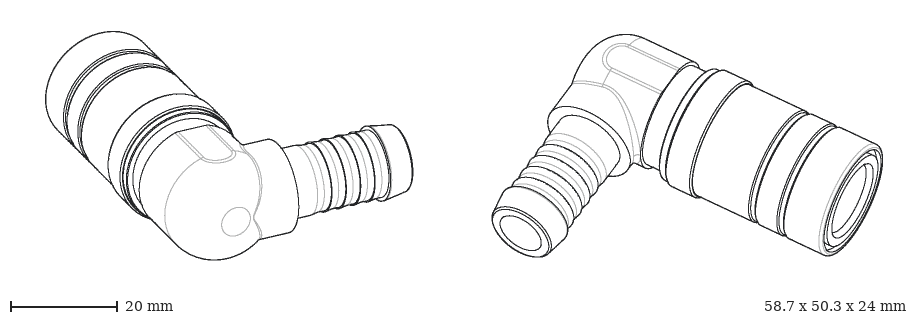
import cadquery as cq

body_dia = 23.0
groove_dia = 22.4
groove_starts = (8.15, 14.3)
groove_width = 1.5
groove_chamfer = 0.3
mouth_round = 0.5
collar_dia = 24.0
collar_start = 28.05
collar_end = 33.85
collar_chamfer = 0.35
body_end = 35.4
body_end_chamfer = 0.2
neck_dia = 20.5

elbow_dia = 21.95
elbow_start = 39.7
elbow_end = 58.7
dome_start = 50.7
dome_round = elbow_end - dome_start

branch_dia = 18.0
branch_inset = 0.03
branch_x = elbow_end - branch_inset - branch_dia / 2
branch_end = 13.1
blend_radius = 0.95

flat_spacing = 21.0
flat_edge_round = 2.0

overall_depth = 50.25
barb_tip = overall_depth - collar_dia / 2
barb_root_dia = 13.0
ridge_dia = 13.5
barb_head_dia = 14.45
barb_tip_chamfer = 0.35
barb_head_length = 4.95
barb_head_back = 0.25
first_ridge = barb_tip - 8.15
ridge_pitch = 3.0
ridge_count = 5
ridge_length = 1.5

ring_outer_dia = 21.0
ring_inner_dia = 18.8
ring_depth = 1.0
bore_dia = 14.1
bore_mouth_dia = 15.25
bore_mouth_length = 1.2
barb_bore_dia = 9.0
bore_end = branch_x + barb_bore_dia / 2


def x_cylinder(diameter, start, end):
    return cq.Workplane("YZ").workplane(offset=start).circle(diameter / 2).extrude(end - start)


def y_cylinder(diameter, start, end):
    plane = cq.Plane(origin=(branch_x, start, 0), xDir=(1, 0, 0), normal=(0, 1, 0))
    return cq.Workplane(plane).circle(diameter / 2).extrude(end - start)


def make_groove(start):
    """Ring that cuts a shallow groove with sloping sides."""
    end = start + groove_width
    profile = [
        (start, body_dia / 2),
        (start + groove_chamfer, groove_dia / 2),
        (end - groove_chamfer, groove_dia / 2),
        (end, body_dia / 2),
    ]
    return cq.Workplane("XY").polyline(profile).close().revolve(360, (0, 0, 0), (1, 0, 0))


def make_body():
    body = x_cylinder(body_dia, 0, body_end)
    body = body.faces("<X").edges().fillet(mouth_round)
    body = body.faces(">X").edges().chamfer(body_end_chamfer)
    for start in groove_starts:
        body = body.cut(make_groove(start))
    collar = x_cylinder(collar_dia, collar_start, collar_end).edges("%CIRCLE").chamfer(collar_chamfer)
    neck = x_cylinder(neck_dia, body_end, elbow_start)
    return body.union(collar).union(neck)


def make_elbow():
    """Dome-ended elbow with a blended branch and two softened flats."""
    elbow = x_cylinder(elbow_dia, elbow_start, elbow_end).faces(">X").edges().fillet(dome_round)
    elbow = elbow.union(y_cylinder(branch_dia, 0, branch_end))
    seam_zone = cq.selectors.BoxSelector(
        (elbow_start + branch_inset, 0, -elbow_dia),
        (elbow_end + branch_inset, elbow_dia / 2 + branch_inset, elbow_dia),
    )
    seam = elbow.edges(seam_zone).edges("not(%CIRCLE or %LINE)")
    elbow = seam.fillet(blend_radius)
    elbow = elbow.intersect(cq.Workplane("XY").box(2 * elbow_end, 2 * elbow_end, flat_spacing))
    return elbow.faces("<Z or >Z").edges("not <X").fillet(flat_edge_round)


def make_barb():
    """Revolved barb: flared head, tapered ridges and a plain shank."""
    root = barb_root_dia / 2
    head = barb_tip - barb_head_length
    points = [
        (0, barb_tip),
        (root - barb_tip_chamfer, barb_tip),
        (root, barb_tip - barb_tip_chamfer),
        (barb_head_dia / 2, head),
        (barb_head_dia / 2, head - barb_head_back),
        (root, head - barb_head_back),
    ]
    for index in range(ridge_count):
        ridge = first_ridge - index * ridge_pitch
        points += [(root, ridge + ridge_length), (ridge_dia / 2, ridge)]
        if index < ridge_count - 1:
            points.append((root, ridge))
    points += [(ridge_dia / 2, branch_end), (0, branch_end)]
    barb = cq.Workplane("XY").polyline(points).close().revolve(360, (0, 0, 0), (0, 1, 0))
    return barb.translate((branch_x, 0, 0))


def make_ring_recess():
    """Annular recess in the end face, around the mouth of the bore."""
    return x_cylinder(ring_outer_dia, 0, ring_depth).cut(x_cylinder(ring_inner_dia, 0, ring_depth))


def make_passages():
    """Socket bore along X with a tapered mouth, joined by the barb bore along Y."""
    profile = [
        (0, 0),
        (0, bore_mouth_dia / 2),
        (bore_mouth_length, bore_dia / 2),
        (bore_end, bore_dia / 2),
        (bore_end, 0),
    ]
    socket = cq.Workplane("XY").polyline(profile).close().revolve(360, (0, 0, 0), (1, 0, 0))
    return socket.union(y_cylinder(barb_bore_dia, 0, barb_tip))


result = (
    make_body()
    .union(make_elbow())
    .union(make_barb())
    .cut(make_ring_recess())
    .cut(make_passages())
)